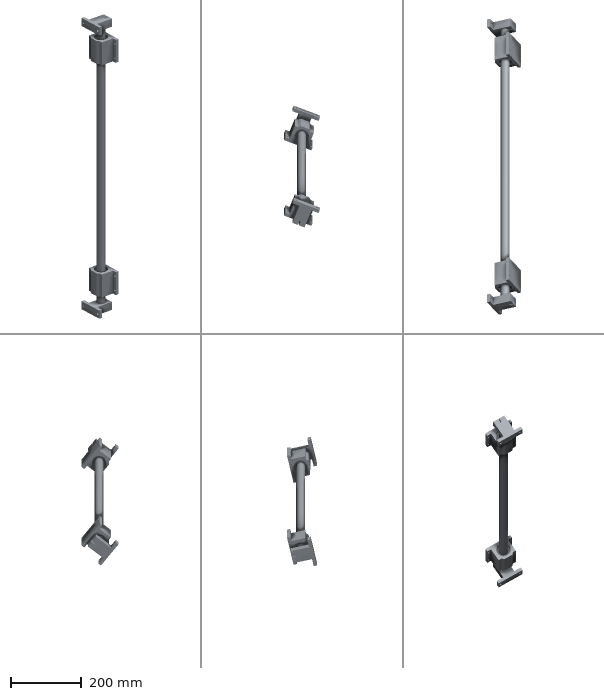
import cadquery as cq

SHAFT_DIAMETER = 25.4
SHAFT_LENGTH = 914.4

SUPPORT_THICKNESS = 25.4
SUPPORT_WIDTH = 79.375
SUPPORT_BASE_Y = -38.1
SUPPORT_HEIGHT = 63.5
SUPPORT_FLANGE_THICKNESS = 9.525
SUPPORT_STEM_WIDTH = 36.5
SUPPORT_SLIT_WIDTH = 2.4
SUPPORT_HOLE_SPACING = 63.5
SUPPORT_HOLE_DIAMETER = 7.0

HOUSING_LENGTH = 72.0
HOUSING_CENTRE_Z = 364.5
HOUSING_WIDTH = 82.55
HOUSING_BASE_Y = 30.15
HOUSING_FRONT_Y = -19.8
HOUSING_BODY_WIDTH = 57.2
HOUSING_FLANGE_THICKNESS = 9.525
HOUSING_FILLET_RADIUS = 1.0
RIDGE_BASE_WIDTH = 38.0
RIDGE_TOP_WIDTH = 26.0
RIDGE_HEIGHT = 6.0
HOUSING_HOLE_SPACING_X = 73.0
HOUSING_HOLE_SPACING_Z = 44.45
HOUSING_HOLE_DIAMETER = 5.5

BUSHING_DIAMETER = 39.7
BUSHING_LENGTH = 57.15

SIGNS = (-1, 1)


def z_prism(outline, length, centre_z):
    """Extrude a closed XY outline along Z, centred on centre_z."""
    start = centre_z - length / 2
    return cq.Workplane("XY", origin=(0, 0, start)).polyline(outline).close().extrude(length)


def z_cylinder(diameter, length, centre_z):
    """Solid cylinder on the shaft axis, centred on centre_z."""
    start = centre_z - length / 2
    return cq.Workplane("XY", origin=(0, 0, start)).circle(diameter / 2).extrude(length)


def y_holes(points, diameter):
    """Through-hole cutters along Y at the given (x, z) points."""
    reach = SUPPORT_HEIGHT
    return cq.Workplane("XZ").pushPoints(points).circle(diameter / 2).extrude(reach, both=True)


def mirrored_outline(right_half):
    """Complete an outline from its +X half, listed from one end of the Y axis to the other."""
    left_half = [(-x, y) for x, y in reversed(right_half)]
    return right_half + left_half


def make_support(centre_z):
    """T-shaped shaft support with a clamping slit from the bore to its +Y face."""
    top_y = SUPPORT_BASE_Y + SUPPORT_HEIGHT
    shoulder_y = SUPPORT_BASE_Y + SUPPORT_FLANGE_THICKNESS
    outline = mirrored_outline([
        (SUPPORT_WIDTH / 2, SUPPORT_BASE_Y),
        (SUPPORT_WIDTH / 2, shoulder_y),
        (SUPPORT_STEM_WIDTH / 2, shoulder_y),
        (SUPPORT_STEM_WIDTH / 2, top_y),
    ])
    bore = z_cylinder(SHAFT_DIAMETER, SUPPORT_THICKNESS, centre_z)
    slit = cq.Workplane("XY", origin=(0, 0, centre_z)).box(
        SUPPORT_SLIT_WIDTH, top_y, SUPPORT_THICKNESS, centered=(True, False, True)
    )
    hole_points = [(side * SUPPORT_HOLE_SPACING / 2, centre_z) for side in SIGNS]
    holes = y_holes(hole_points, SUPPORT_HOLE_DIAMETER)
    return z_prism(outline, SUPPORT_THICKNESS, centre_z).cut(bore).cut(slit).cut(holes)


def make_housing(centre_z):
    """Pillow block with side flanges and a tapered ridge on its -Y face."""
    flange_y = HOUSING_BASE_Y - HOUSING_FLANGE_THICKNESS
    outline = mirrored_outline([
        (HOUSING_WIDTH / 2, HOUSING_BASE_Y),
        (HOUSING_WIDTH / 2, flange_y),
        (HOUSING_BODY_WIDTH / 2, flange_y),
        (HOUSING_BODY_WIDTH / 2, HOUSING_FRONT_Y),
        (RIDGE_BASE_WIDTH / 2, HOUSING_FRONT_Y),
        (RIDGE_TOP_WIDTH / 2, HOUSING_FRONT_Y - RIDGE_HEIGHT),
    ])
    block = z_prism(outline, HOUSING_LENGTH, centre_z)
    for corner_x in (HOUSING_WIDTH / 2, HOUSING_BODY_WIDTH / 2):
        for side in SIGNS:
            corner = (side * corner_x, flange_y, centre_z)
            long_edge = block.edges(cq.NearestToPointSelector(corner))
            block = long_edge.fillet(HOUSING_FILLET_RADIUS)

    bore = z_cylinder(BUSHING_DIAMETER, HOUSING_LENGTH, centre_z)
    hole_points = [
        (side * HOUSING_HOLE_SPACING_X / 2, centre_z + end * HOUSING_HOLE_SPACING_Z / 2)
        for side in SIGNS
        for end in SIGNS
    ]
    holes = y_holes(hole_points, HOUSING_HOLE_DIAMETER)
    return block.cut(bore).cut(holes)


def make_bushing(centre_z):
    """Plain sleeve between the shaft and the housing bore."""
    bore = z_cylinder(SHAFT_DIAMETER, BUSHING_LENGTH, centre_z)
    return z_cylinder(BUSHING_DIAMETER, BUSHING_LENGTH, centre_z).cut(bore)


shaft = z_cylinder(SHAFT_DIAMETER, SHAFT_LENGTH, 0)
bodies = [shaft.val()]

support_centre_z = (SHAFT_LENGTH - SUPPORT_THICKNESS) / 2
for end in SIGNS:
    bodies.append(make_support(end * support_centre_z).val())
    bodies.append(make_housing(end * HOUSING_CENTRE_Z).val())
    bodies.append(make_bushing(end * HOUSING_CENTRE_Z).val())

result = cq.Compound.makeCompound(bodies)